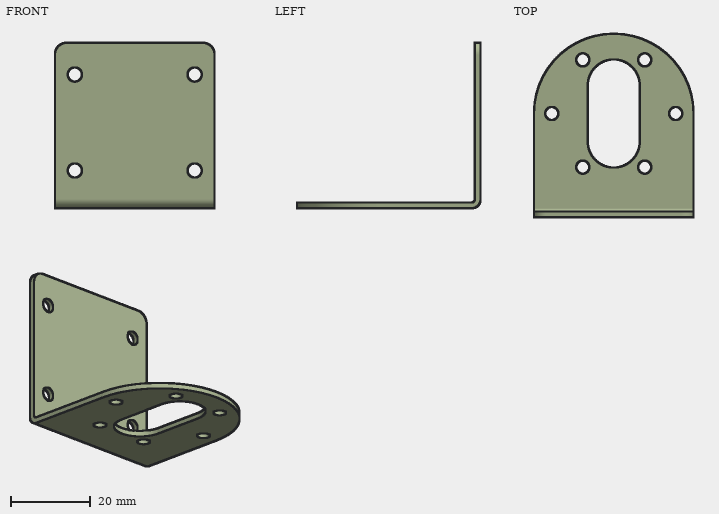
import cadquery as cq

width = 40.0
depth = 46.0
height = 41.5
thickness = 1.5
bend_inner_radius = 0.7
bend_outer_radius = bend_inner_radius + thickness

end_radius = width / 2
ring_center_y = depth - end_radius
ring_radius = 15.5
ring_hole_count = 6
ring_hole_diameter = 3.2
slot_width = 12.95
slot_length = 27.0

corner_radius = 3.0
wall_hole_diameter = 3.5
wall_hole_spacing_x = 30.0
wall_hole_spacing_z = 24.0
wall_hole_top_margin = 8.0
wall_hole_center_z = height - wall_hole_top_margin - wall_hole_spacing_z / 2


def bent_sheet():
    """L-shaped sheet, front face at Y = 0 and underside at Z = 0."""
    profile = (
        cq.Workplane("YZ")
        .polyline([
            (0, 0),
            (depth, 0),
            (depth, thickness),
            (thickness, thickness),
            (thickness, height),
            (0, height),
        ])
        .close()
        .extrude(width / 2, both=True)
    )
    outer_edge = cq.selectors.NearestToPointSelector((0, 0, 0))
    inner_edge = cq.selectors.NearestToPointSelector((0, thickness, thickness))
    return (
        profile.edges("|X").edges(outer_edge).fillet(bend_outer_radius)
        .edges("|X").edges(inner_edge).fillet(bend_inner_radius)
    )


def base_outline():
    """Tall block with the plan shape of the base plate."""
    return (
        cq.Workplane("XY")
        .moveTo(-width / 2, 0)
        .lineTo(width / 2, 0)
        .lineTo(width / 2, ring_center_y)
        .threePointArc((0, depth), (-width / 2, ring_center_y))
        .close()
        .extrude(height)
    )


def base_cutouts():
    """Slot and ring of holes through the base plate."""
    center = cq.Workplane("XY").center(0, ring_center_y)
    slot = center.slot2D(slot_length, slot_width, 90).extrude(thickness)
    holes = (
        center.polarArray(ring_radius, 0, 360, ring_hole_count)
        .circle(ring_hole_diameter / 2)
        .extrude(thickness)
    )
    return slot.union(holes)


def wall_holes():
    """Four mounting holes through the upright plate."""
    return (
        cq.Workplane("XZ")
        .center(0, wall_hole_center_z)
        .rect(wall_hole_spacing_x, wall_hole_spacing_z, forConstruction=True)
        .vertices()
        .circle(wall_hole_diameter / 2)
        .extrude(-thickness)
    )


bracket = bent_sheet().intersect(base_outline())
bracket = bracket.edges("|Y and >Z").fillet(corner_radius)
result = bracket.cut(base_cutouts()).cut(wall_holes())